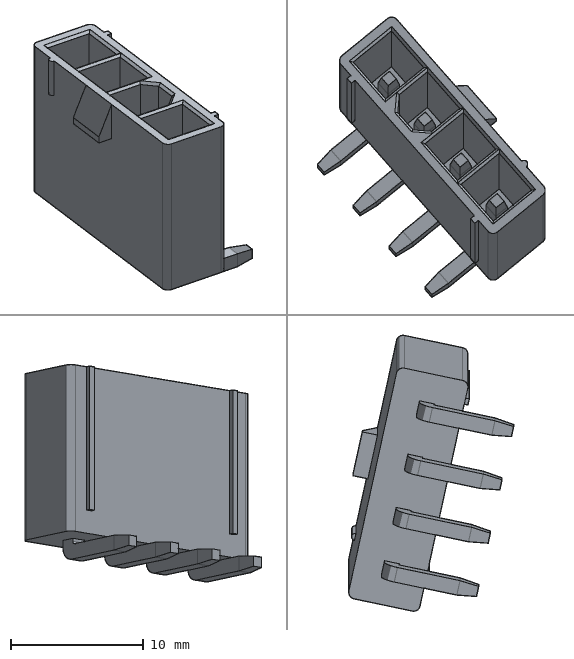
import cadquery as cq
import math

body_width = 18.2
body_depth = 5.51
body_height = 12.83
corner_radius = 0.51
front_y = -body_depth / 2
back_y = body_depth / 2

cell_count = 4
cell_pitch = 4.2
cell_size = 3.79
cell_depth = 10.01
mouth_chamfer = (cell_pitch - cell_size) / 2
keyed_cell = 2
key_cut = 1.0
cell_centers = [(i - (cell_count - 1) / 2) * cell_pitch for i in range(cell_count)]
floor_z = body_height - cell_depth

pin_size = 1.15
pin_y = -0.04
pin_tip_size = 0.8
pin_taper_length = 1.5
pin_recess = 4.0
pin_top_z = body_height - pin_recess
tail_gap = 0.44
tail_reach = 3.97
bend_inner_radius = 0.2
bend_outer_radius = 1.0

latch_width = 3.45
latch_projection = 1.16
latch_height = 3.0
latch_lip = 0.53

marker_radius = 0.27

back_rib_width = 0.5
back_rib_projection = 0.36
back_rib_length = 11.05
back_rib_x = 7.23


def make_housing():
    block = cq.Workplane("XY").box(body_width, body_depth, body_height, centered=(True, True, False))
    return block.edges("|Z").fillet(corner_radius)


def cell_outline(size, corner_cut):
    """Corner points of a square cell; a nonzero corner_cut bevels its two back corners."""
    half = size / 2
    front_corners = [(-half, -half), (half, -half)]
    back_corners = [(half, half), (-half, half)]
    if corner_cut > 0:
        back_corners = [
            (half, half - corner_cut),
            (half - corner_cut, half),
            (corner_cut - half, half),
            (-half, half - corner_cut),
        ]
    return front_corners + back_corners


def make_cell(x, keyed):
    """Solid to be cut away for one cell, including its 45 degree mouth."""
    shaft_cut = key_cut if keyed else 0
    mouth_cut = key_cut + mouth_chamfer * (2 - math.sqrt(2)) if keyed else 0
    shaft_outline = cell_outline(cell_size, shaft_cut)
    mouth_outline = cell_outline(cell_pitch, mouth_cut)

    shaft = cq.Workplane("XY", origin=(x, 0, floor_z)).polyline(shaft_outline).close().extrude(cell_depth)
    mouth = (
        cq.Workplane("XY", origin=(x, 0, body_height - mouth_chamfer))
        .polyline(shaft_outline)
        .close()
        .workplane(offset=mouth_chamfer)
        .polyline(mouth_outline)
        .close()
        .loft(ruled=True)
    )
    return shaft.union(mouth)


def make_pin_taper(base_plane):
    """Tapered pin end growing along the normal of base_plane."""
    base = cq.Workplane(base_plane).rect(pin_size, pin_size)
    return base.workplane(offset=pin_taper_length).rect(pin_tip_size, pin_tip_size).loft()


def make_pin(x):
    pin_front = pin_y - pin_size / 2
    pin_back = pin_y + pin_size / 2
    tail_top = -tail_gap
    tail_bottom = tail_top - pin_size
    tail_taper_y = back_y + tail_reach - pin_taper_length
    shank_top = pin_top_z - pin_taper_length

    shank = (
        cq.Workplane("YZ", origin=(x, 0, 0))
        .moveTo(pin_front, shank_top)
        .lineTo(pin_front, tail_bottom + bend_outer_radius)
        .radiusArc((pin_front + bend_outer_radius, tail_bottom), -bend_outer_radius)
        .lineTo(tail_taper_y, tail_bottom)
        .lineTo(tail_taper_y, tail_top)
        .lineTo(pin_back + bend_inner_radius, tail_top)
        .radiusArc((pin_back, tail_top + bend_inner_radius), bend_inner_radius)
        .lineTo(pin_back, shank_top)
        .close()
        .extrude(pin_size / 2, both=True)
    )
    tail_center_z = (tail_top + tail_bottom) / 2
    contact_plane = cq.Plane(origin=(x, pin_y, shank_top), xDir=(1, 0, 0), normal=(0, 0, 1))
    tail_plane = cq.Plane(origin=(x, tail_taper_y, tail_center_z), xDir=(1, 0, 0), normal=(0, 1, 0))
    return shank.union(make_pin_taper(contact_plane)).union(make_pin_taper(tail_plane))


def make_latch():
    """Wedge that slopes outward from the top edge down to a short upright lip."""
    bottom_z = body_height - latch_height
    nose_y = front_y - latch_projection
    profile = [
        (front_y, body_height),
        (nose_y, bottom_z + latch_lip),
        (nose_y, bottom_z),
        (front_y, bottom_z),
    ]
    return cq.Workplane("YZ").polyline(profile).close().extrude(latch_width / 2, both=True)


def make_marker():
    bottom_z = body_height - latch_height
    return (
        cq.Workplane("XY", origin=(cell_centers[0], front_y, bottom_z))
        .moveTo(-marker_radius, 0)
        .threePointArc((0, -marker_radius), (marker_radius, 0))
        .close()
        .extrude(latch_height)
    )


def make_back_rib(x):
    return cq.Workplane("XY", origin=(x, back_y, body_height - back_rib_length)).box(
        back_rib_width, back_rib_projection, back_rib_length, centered=(True, False, False)
    )


result = make_housing()
for index, center_x in enumerate(cell_centers):
    result = result.cut(make_cell(center_x, index == keyed_cell))
for center_x in cell_centers:
    result = result.union(make_pin(center_x))
result = result.union(make_latch()).union(make_marker())
for rib_x in (-back_rib_x, back_rib_x):
    result = result.union(make_back_rib(rib_x))